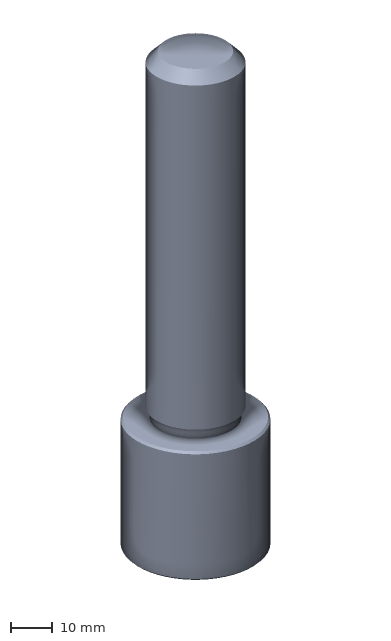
import cadquery as cq

total_length = 135.0
head_diameter = 36.0
head_height = 35.1
head_chamfer = 0.5
neck_diameter = 22.1
neck_height = 3.0
shank_diameter = 24.0
tip_chamfer = 3.0

shank_length = total_length - head_height - neck_height


def cylinder(diameter, height, base_z):
    """Upright cylinder on the Z axis, standing at base_z."""
    return cq.Workplane("XY").workplane(offset=base_z).circle(diameter / 2).extrude(height)


head = cylinder(head_diameter, head_height, 0).edges().chamfer(head_chamfer)

neck = cylinder(neck_diameter, neck_height, head_height)

shank = cylinder(shank_diameter, shank_length, head_height + neck_height)
shank = shank.faces(">Z").edges().chamfer(tip_chamfer)

result = head.union(neck).union(shank)